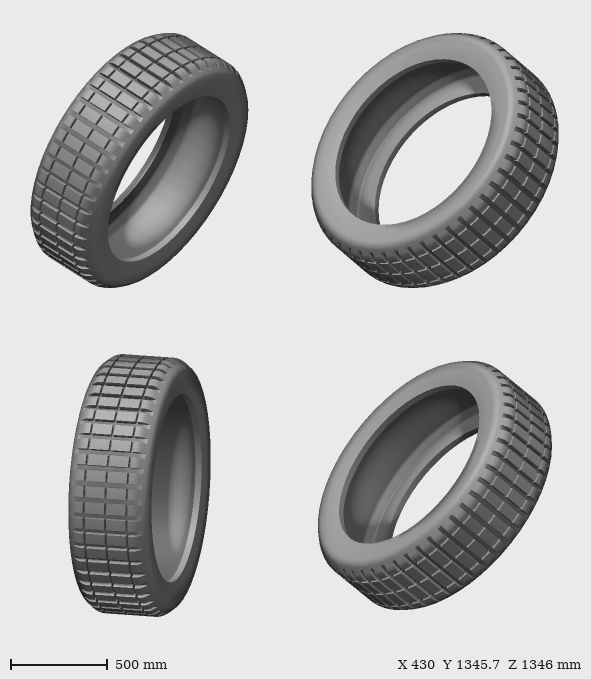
import cadquery as cq
import math

outer_radius = 673.0
half_width = 215.0
bead_radius = 980.0 / 2
inner_crown_radius = 1283.0 / 2
wall_thickness = outer_radius - inner_crown_radius

crown_half_width = 135.0
shoulder_radius = 54.0
shoulder_slope = 37.0
corner_radius = 48.0
sidewall_radius = 384.0

groove_floor_radius = 1295.0 / 2
ring_groove_width = 12.0
ring_groove_spacing = 115.0
cross_groove_width = 27.0
cross_groove_count = 50

clearance = 13.0


def point_on_arc(center, radius, angle):
    """Point (x, r) on an arc; 0 degrees points along the axis, 90 degrees away from it."""
    turn = math.radians(angle)
    return (center[0] + radius * math.cos(turn), center[1] + radius * math.sin(turn))


slope = math.radians(shoulder_slope)
slope_normal = 90 - shoulder_slope
shoulder_center = (crown_half_width, outer_radius - shoulder_radius)
slope_start = point_on_arc(shoulder_center, shoulder_radius, slope_normal)
corner_x = half_width - corner_radius
slope_end_x = corner_x + corner_radius * math.sin(slope)
slope_end_r = slope_start[1] - (slope_end_x - slope_start[0]) * math.tan(slope)
corner_center = (corner_x, slope_end_r - corner_radius * math.cos(slope))
sidewall_center = (half_width - sidewall_radius, corner_center[1])


def half_skin(inset):
    """Half of the area between the bead radius and a skin lying `inset` inside the outer one."""
    shoulder = shoulder_radius - inset
    corner = corner_radius - inset
    sidewall = sidewall_radius - inset
    bead_angle = math.degrees(math.asin((bead_radius - sidewall_center[1]) / sidewall))
    return (
        cq.Workplane("XY")
        .moveTo(0, bead_radius)
        .lineTo(0, outer_radius - inset)
        .lineTo(crown_half_width, outer_radius - inset)
        .threePointArc(
            point_on_arc(shoulder_center, shoulder, (90 + slope_normal) / 2),
            point_on_arc(shoulder_center, shoulder, slope_normal),
        )
        .lineTo(*point_on_arc(corner_center, corner, slope_normal))
        .threePointArc(
            point_on_arc(corner_center, corner, slope_normal / 2),
            point_on_arc(corner_center, corner, 0),
        )
        .threePointArc(
            point_on_arc(sidewall_center, sidewall, bead_angle / 2),
            point_on_arc(sidewall_center, sidewall, bead_angle),
        )
        .close()
        .revolve(360, (0, 0, 0), (1, 0, 0))
    )


def carcass():
    """Hollow tire without grooves."""
    half = half_skin(0).cut(half_skin(wall_thickness))
    return half.union(half.mirror("YZ")).clean()


def ring_groove(x):
    """Cutter for a groove running around the tread."""
    return (
        cq.Workplane("YZ", origin=(x - ring_groove_width / 2, 0, 0))
        .circle(outer_radius + clearance)
        .circle(groove_floor_radius)
        .extrude(ring_groove_width)
    )


def cross_groove(angle):
    """Cutter for a flat-floored groove running across the tread."""
    depth = outer_radius + clearance - groove_floor_radius
    return (
        cq.Workplane("XY", origin=(0, 0, groove_floor_radius))
        .rect(2 * half_width, cross_groove_width)
        .extrude(depth)
        .rotate((0, 0, 0), (1, 0, 0), angle)
    )


tire = carcass()
for position in (-1, 0, 1):
    tire = tire.cut(ring_groove(position * ring_groove_spacing))

pitch = 360 / cross_groove_count
cross_grooves = [cross_groove((index + 0.5) * pitch).val() for index in range(cross_groove_count)]
result = tire.cut(cq.Workplane(cq.Compound.makeCompound(cross_grooves)))